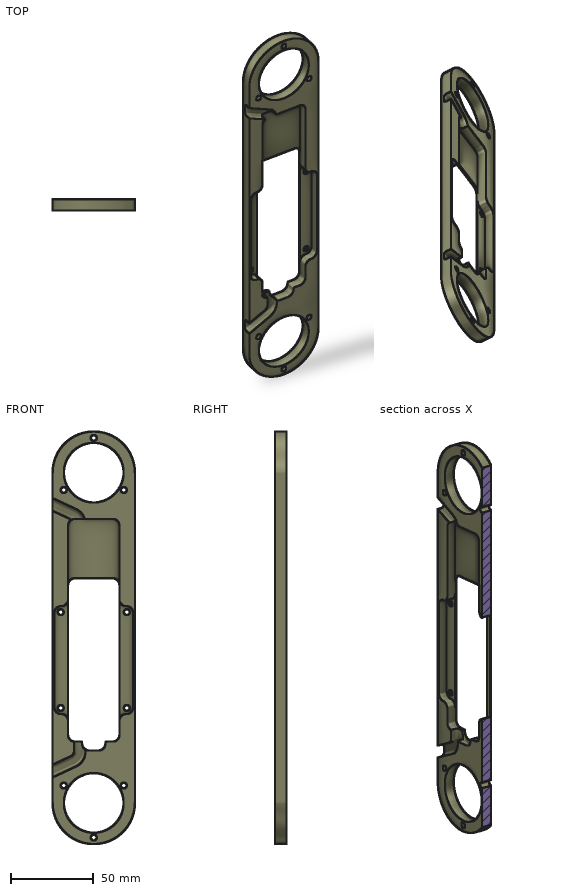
import cadquery as cq
import math

PLATE_WIDTH = 50.0
PLATE_LENGTH = 250.0
PLATE_THICKNESS = 7.0
END_RADIUS = PLATE_WIDTH / 2
RING_CENTER_Z = PLATE_LENGTH / 2 - END_RADIUS

RING_BORE_DIAMETER = 36.0
RING_SCREW_DIAMETER = 3.4
RING_SCREW_CIRCLE_RADIUS = 21.0
RING_SCREW_COUNT = 3

OPENING_WIDTH = 31.0
OPENING_TOP_Z = 72.0
OPENING_BOTTOM_Z = -62.8
OPENING_CORNER_RADIUS = 4.0
FLOOR_THICKNESS = 1.0
FLOOR_BOTTOM_Z = 36.0

NOTCH_WIDTH = 14.0
NOTCH_DEPTH = 5.4
NOTCH_CORNER_RADIUS = 4.2
NOTCH_EDGE_RADIUS = 1.0

FLANGE_CENTER_Z = -13.5
FLANGE_RECESS_WIDTH = 47.6
FLANGE_RECESS_LENGTH = 65.4
FLANGE_RECESS_DEPTH = PLATE_THICKNESS - FLOOR_THICKNESS
FLANGE_CORNER_RADIUS = 4.0
FLANGE_BLEND_RADIUS = 4.0
FLANGE_SCREW_DIAMETER = 3.4
FLANGE_SCREW_SPACING_X = 40.0
FLANGE_SCREW_SPACING_Z = 58.0

CHANNEL_WIDTH = 7.0
CHANNEL_DEPTH = 5.0
CHANNEL_FLOOR_RADIUS = 2.0
CHANNEL_ANGLE = math.radians(25)
CHANNEL_BEND_RADIUS = 6.5
CHANNEL_INNER_X = -8.5
CHANNEL_CORNER_Z = 73.05
CHANNEL_OVERRUN = 5.0
CHANNEL_END_Z = 61.0


def front_plane():
    """Sketch plane on the front face: local x is X, local y is Z."""
    return cq.Workplane("XZ")


def prism(sketch, depth):
    """Solid reaching from the front face to the given depth."""
    return sketch.extrude(-depth)


def make_plate():
    return prism(front_plane().slot2D(PLATE_LENGTH, PLATE_WIDTH, 90), PLATE_THICKNESS)


def make_ring_openings():
    cutters = cq.Workplane("XZ")
    for side in (1, -1):
        ring = front_plane().center(0, side * RING_CENTER_Z)
        screws = ring.polarArray(RING_SCREW_CIRCLE_RADIUS, side * 90, 360, RING_SCREW_COUNT)
        cutters = cutters.add(prism(ring.circle(RING_BORE_DIAMETER / 2), PLATE_THICKNESS))
        cutters = cutters.add(prism(screws.circle(RING_SCREW_DIAMETER / 2), PLATE_THICKNESS))
    return cutters.combine()


def make_rounded_opening(top_z, depth):
    """Opening from its lower edge up to top_z, with rounded corners."""
    height = top_z - OPENING_BOTTOM_Z
    sketch = front_plane().center(0, OPENING_BOTTOM_Z + height / 2).rect(OPENING_WIDTH, height)
    return prism(sketch, depth).edges("|Y").fillet(OPENING_CORNER_RADIUS)


def make_opening():
    window = make_rounded_opening(FLOOR_BOTTOM_Z, PLATE_THICKNESS)
    notch_sketch = front_plane().center(0, OPENING_BOTTOM_Z).rect(NOTCH_WIDTH, 2 * NOTCH_DEPTH)
    notch = prism(notch_sketch, PLATE_THICKNESS).edges("|Y").fillet(NOTCH_CORNER_RADIUS)
    reach = NOTCH_EDGE_RADIUS / 2
    notch_edges = cq.selectors.BoxSelector(
        (-NOTCH_WIDTH / 2 - reach, 0, OPENING_BOTTOM_Z - reach),
        (NOTCH_WIDTH / 2 + reach, PLATE_THICKNESS, OPENING_BOTTOM_Z + reach),
    )
    window = window.union(notch).edges("|Y").edges(notch_edges).fillet(NOTCH_EDGE_RADIUS)
    pocket = make_rounded_opening(OPENING_TOP_Z, PLATE_THICKNESS - FLOOR_THICKNESS)
    return window.union(pocket)


def make_flange_recess():
    """Rounded rectangle whose ends flare smoothly into the sides of the opening."""
    base = front_plane().center(0, FLANGE_CENTER_Z)
    recess = prism(base.rect(FLANGE_RECESS_WIDTH, FLANGE_RECESS_LENGTH), FLANGE_RECESS_DEPTH)
    recess = recess.edges("|Y").fillet(FLANGE_CORNER_RADIUS)
    neck_overrun = 2 * FLANGE_BLEND_RADIUS
    neck_length = FLANGE_RECESS_LENGTH + 2 * neck_overrun
    recess = recess.union(prism(base.rect(OPENING_WIDTH, neck_length), FLANGE_RECESS_DEPTH))
    half_width = OPENING_WIDTH / 2
    half_length = FLANGE_RECESS_LENGTH / 2
    reach = FLANGE_BLEND_RADIUS / 2
    inner_corners = cq.selectors.BoxSelector(
        (-half_width - reach, 0, FLANGE_CENTER_Z - half_length - reach),
        (half_width + reach, FLANGE_RECESS_DEPTH, FLANGE_CENTER_Z + half_length + reach),
    )
    return recess.edges("|Y").edges(inner_corners).fillet(FLANGE_BLEND_RADIUS)


def make_flange_screw_holes():
    screws = front_plane().center(0, FLANGE_CENTER_Z)
    screws = screws.rarray(FLANGE_SCREW_SPACING_X, FLANGE_SCREW_SPACING_Z, 2, 2)
    return prism(screws.circle(FLANGE_SCREW_DIAMETER / 2), PLATE_THICKNESS)


def make_upper_channel():
    """Rounded-floor groove sloping in from the left edge, then turning down into the opening."""
    slope_x = math.cos(CHANNEL_ANGLE)
    slope_z = -math.sin(CHANNEL_ANGLE)
    turn = math.pi / 2 - CHANNEL_ANGLE
    tangent_length = CHANNEL_BEND_RADIUS * math.tan(turn / 2)
    start_x = -PLATE_WIDTH / 2 - CHANNEL_OVERRUN
    start_z = CHANNEL_CORNER_Z + (CHANNEL_INNER_X - start_x) * math.tan(CHANNEL_ANGLE)
    bend_start = (
        CHANNEL_INNER_X - tangent_length * slope_x,
        CHANNEL_CORNER_Z - tangent_length * slope_z,
    )
    bend_end = (CHANNEL_INNER_X, CHANNEL_CORNER_Z - tangent_length)
    path = (
        front_plane()
        .moveTo(start_x, start_z)
        .lineTo(*bend_start)
        .tangentArcPoint(bend_end, relative=False)
        .lineTo(CHANNEL_INNER_X, CHANNEL_END_Z)
    )
    section_plane = cq.Plane(
        origin=(start_x, 0, start_z), xDir=(slope_z, 0, -slope_x), normal=(slope_x, 0, slope_z)
    )
    half_width = CHANNEL_WIDTH / 2
    half_floor = half_width - CHANNEL_FLOOR_RADIUS
    wall_depth = CHANNEL_DEPTH - CHANNEL_FLOOR_RADIUS
    section = (
        cq.Workplane(section_plane)
        .moveTo(-half_width, 0)
        .lineTo(-half_width, wall_depth)
        .radiusArc((-half_floor, CHANNEL_DEPTH), CHANNEL_FLOOR_RADIUS)
        .lineTo(half_floor, CHANNEL_DEPTH)
        .radiusArc((half_width, wall_depth), CHANNEL_FLOOR_RADIUS)
        .lineTo(half_width, 0)
        .close()
    )
    return section.sweep(path)


upper_channel = make_upper_channel()
lower_channel = upper_channel.mirror("XY")

result = (
    make_plate()
    .cut(make_ring_openings())
    .cut(make_opening())
    .cut(make_flange_recess())
    .cut(make_flange_screw_holes())
    .cut(upper_channel)
    .cut(lower_channel)
)